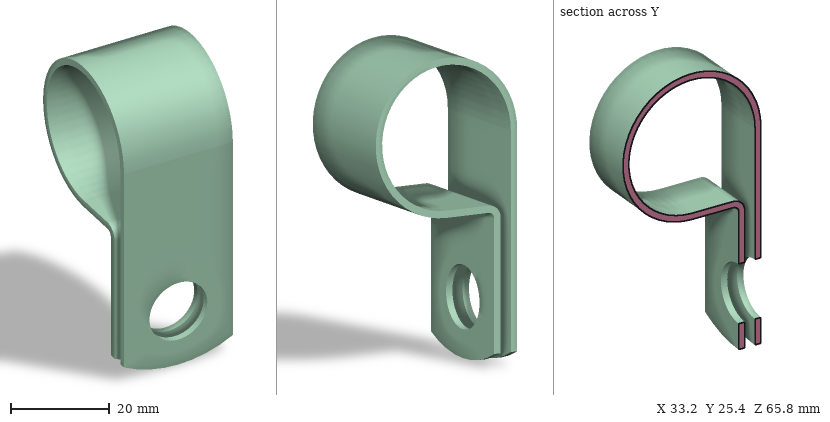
import cadquery as cq
import math

strap_width = 25.4
thickness = 1.5
total_height = 65.8
loop_diameter = 33.2
loop_radius = loop_diameter / 2
bore_radius = loop_radius - thickness

leg_gap = 2.4
bend_inner_radius = 1.3
bend_outer_radius = bend_inner_radius + thickness
end_sagitta = 3.15
hole_diameter = 13.5
hole_height = 12.7

leg_bottom = loop_radius - total_height
short_leg_outer_x = bore_radius - leg_gap
short_leg_inner_x = short_leg_outer_x - thickness
bend_x = short_leg_outer_x - bend_outer_radius
bend_z = -bore_radius - bend_outer_radius


def loop_midpoint(radius):
    """Point halfway along the three-quarter loop, at its upper left."""
    offset = radius / math.sqrt(2)
    return (-offset, offset)


def make_strap():
    """Strap bent into a three-quarter loop with two parallel legs."""
    return (
        cq.Workplane("XZ", origin=(0, strap_width / 2, 0))
        .moveTo(loop_radius, leg_bottom)
        .lineTo(loop_radius, 0)
        .threePointArc(loop_midpoint(loop_radius), (0, -loop_radius))
        .lineTo(bend_x, -loop_radius)
        .radiusArc((short_leg_inner_x, bend_z), bend_inner_radius)
        .lineTo(short_leg_inner_x, leg_bottom)
        .lineTo(short_leg_outer_x, leg_bottom)
        .lineTo(short_leg_outer_x, bend_z)
        .radiusArc((bend_x, -bore_radius), -bend_outer_radius)
        .lineTo(0, -bore_radius)
        .threePointArc(loop_midpoint(bore_radius), (bore_radius, 0))
        .lineTo(bore_radius, leg_bottom)
        .close()
        .extrude(strap_width)
    )


def make_side_envelope():
    """Block covering the strap, with rounded leg ends and the bolt hole."""
    half_width = strap_width / 2
    outline = (
        cq.Workplane("YZ")
        .moveTo(-half_width, loop_diameter)
        .lineTo(-half_width, leg_bottom + end_sagitta)
        .threePointArc((0, leg_bottom), (half_width, leg_bottom + end_sagitta))
        .lineTo(half_width, loop_diameter)
        .close()
        .extrude(loop_diameter, both=True)
    )
    bolt_hole = (
        cq.Workplane("YZ")
        .center(0, leg_bottom + hole_height)
        .circle(hole_diameter / 2)
        .extrude(loop_diameter, both=True)
    )
    return outline.cut(bolt_hole)


result = make_strap().intersect(make_side_envelope())